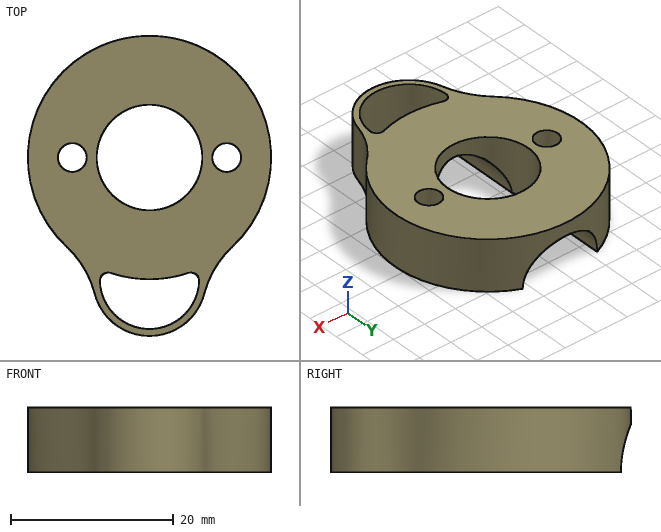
import cadquery as cq
import math

body_diameter = 30.0
overall_length = 37.0
thickness = 8.0
bore_diameter = 13.0
pin_hole_diameter = 3.5
pin_hole_offset = 9.5
neck_radius = 12.0
slot_radius = 6.1
slot_corner_radius = 1.0
channel_radius = 6.0

body_radius = body_diameter / 2
lug_radius = overall_length - body_diameter
lug_y = -body_radius


def neck_fill():
    """Web between body and lug, bounded on each side by a tangent concave arc."""
    to_body = body_radius + neck_radius
    to_lug = lug_radius + neck_radius
    center_y = (to_body**2 - to_lug**2 + lug_y**2) / (2 * lug_y)
    center_x = math.sqrt(to_body**2 - center_y**2)
    body_x = center_x * body_radius / to_body
    body_y = center_y * body_radius / to_body
    lug_x = center_x * lug_radius / to_lug
    lug_tangent_y = lug_y + (center_y - lug_y) * lug_radius / to_lug
    chord_x = (body_x + lug_x) / 2 - center_x
    chord_y = (body_y + lug_tangent_y) / 2 - center_y
    stretch = neck_radius / math.hypot(chord_x, chord_y)
    mid_x = center_x + chord_x * stretch
    mid_y = center_y + chord_y * stretch
    return (
        cq.Workplane("XY")
        .moveTo(body_x, body_y)
        .threePointArc((mid_x, mid_y), (lug_x, lug_tangent_y))
        .lineTo(-lug_x, lug_tangent_y)
        .threePointArc((-mid_x, mid_y), (-body_x, body_y))
        .close()
        .extrude(thickness)
    )


def lug_slot():
    """Crescent opening: a circle in the lug trimmed by the body rim."""
    opening = cq.Workplane("XY").center(0, lug_y).circle(slot_radius).extrude(thickness)
    body_disc = cq.Workplane("XY").circle(body_radius).extrude(thickness)
    return opening.cut(body_disc).edges("|Z").fillet(slot_corner_radius)


def underside_channel():
    """Half-round channel along Y, from the rear rim into the lug slot."""
    return (
        cq.Workplane("XZ", origin=(0, body_radius, 0))
        .circle(channel_radius)
        .extrude(body_radius - lug_y)
    )


body = cq.Workplane("XY").circle(body_radius).extrude(thickness)
lug = cq.Workplane("XY").center(0, lug_y).circle(lug_radius).extrude(thickness)
bore = cq.Workplane("XY").circle(bore_diameter / 2).extrude(thickness)
pin_holes = (
    cq.Workplane("XY")
    .pushPoints([(-pin_hole_offset, 0), (pin_hole_offset, 0)])
    .circle(pin_hole_diameter / 2)
    .extrude(thickness)
)

result = body.union(lug).union(neck_fill())
result = result.cut(bore).cut(pin_holes).cut(lug_slot()).cut(underside_channel())